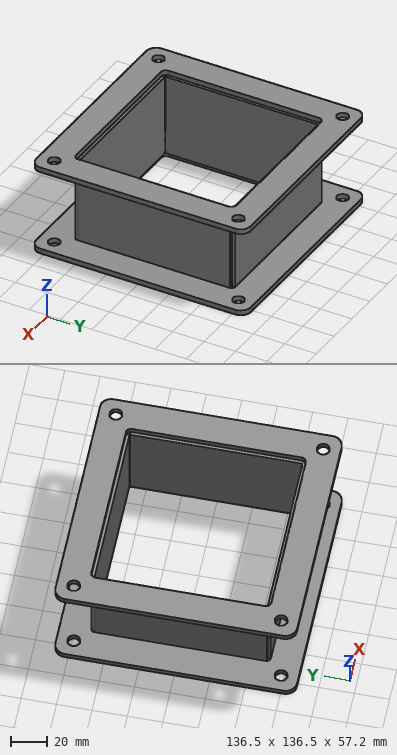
import cadquery as cq

FLANGE_SIDE = 136.5
TOTAL_HEIGHT = 57.2
DUCT_HEIGHT = 50.8

FLANGE_THICKNESS = (TOTAL_HEIGHT - DUCT_HEIGHT) / 2
FLANGE_CORNER_RADIUS = 6.4
BOLT_HOLE_DIAMETER = 7.1
BOLT_SPACING = 117.1

DUCT_SIDE = 101.6
SHEET_THICKNESS = 1.9
BEND_INNER_RADIUS = 0.7
END_SETBACK = 0.1
BEND_OUTER_RADIUS = BEND_INNER_RADIUS + SHEET_THICKNESS

OPENING_SIDE = DUCT_SIDE
OPENING_CORNER_RADIUS = 3.0


def rounded_square_plate(side, corner_radius, bottom_z):
    """Square block of flange thickness with rounded vertical edges."""
    return (
        cq.Workplane("XY", origin=(0, 0, bottom_z))
        .rect(side, side)
        .extrude(FLANGE_THICKNESS)
        .edges("|Z")
        .fillet(corner_radius)
    )


def make_flange(bottom_z):
    """Flange with a square opening and a bolt hole in each corner."""
    plate = rounded_square_plate(FLANGE_SIDE, FLANGE_CORNER_RADIUS, bottom_z)
    opening = rounded_square_plate(OPENING_SIDE, OPENING_CORNER_RADIUS, bottom_z)
    bolt_holes = (
        cq.Workplane("XY", origin=(0, 0, bottom_z))
        .rect(BOLT_SPACING, BOLT_SPACING, forConstruction=True)
        .vertices()
        .circle(BOLT_HOLE_DIAMETER / 2)
        .extrude(FLANGE_THICKNESS)
    )
    return plate.cut(opening).cut(bolt_holes)


def make_duct_sheet(rotation):
    """L-shaped sheet bent at the -X, +Y corner, then turned about Z.

    Each leg stops just short of the inner face of the neighbouring sheet,
    which leaves an open notch at the unbent corners of the duct.
    """
    outer = DUCT_SIDE / 2
    inner = outer - SHEET_THICKNESS
    leg_end = inner - END_SETBACK
    sheet = (
        cq.Workplane("XY", origin=(0, 0, -DUCT_HEIGHT / 2))
        .moveTo(-outer, -leg_end)
        .lineTo(-outer, outer - BEND_OUTER_RADIUS)
        .radiusArc((-outer + BEND_OUTER_RADIUS, outer), BEND_OUTER_RADIUS)
        .lineTo(leg_end, outer)
        .lineTo(leg_end, inner)
        .lineTo(-inner + BEND_INNER_RADIUS, inner)
        .radiusArc((-inner, inner - BEND_INNER_RADIUS), -BEND_INNER_RADIUS)
        .lineTo(-inner, -leg_end)
        .close()
        .extrude(DUCT_HEIGHT)
    )
    return sheet.rotate((0, 0, 0), (0, 0, 1), rotation)


flange_bottoms = (-TOTAL_HEIGHT / 2, DUCT_HEIGHT / 2)
flanges = [make_flange(bottom_z) for bottom_z in flange_bottoms]

sheet_rotations = (0, 180)
duct_sheets = [make_duct_sheet(rotation) for rotation in sheet_rotations]

result = cq.Compound.makeCompound([body.val() for body in flanges + duct_sheets])